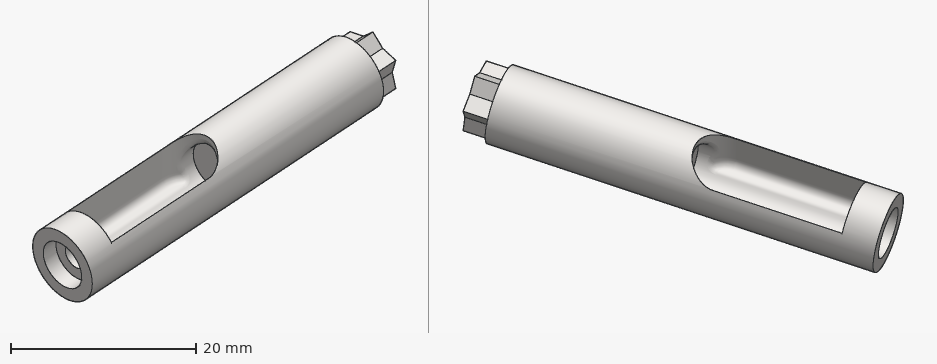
import cadquery as cq
import math

total_length = 48.0
body_diameter = 9.0
star_length = 3.0
body_length = total_length - star_length

star_points = 6
star_tip_radius = 4.0
star_root_radius = 2.95

bore_diameter = 5.8
entry_hole_diameter = 3.0
counterbore_depth = 1.95

window_start = 4.0
window_width = 7.0
window_end = 22.5
window_floor_z = -2.3
floor_corner_radius = 0.95
edge_round_radius = 1.0

bore_end = 23.2


def cylinder_along_y(diameter, start, end):
    """Cylinder on the part axis between two Y positions."""
    circle = cq.Workplane("XZ", origin=(0, start, 0)).circle(diameter / 2)
    return circle.extrude(start - end)


def drive_star():
    """Star prism with one tip pointing straight up."""
    points = []
    for i in range(2 * star_points):
        radius = star_tip_radius if i % 2 == 0 else star_root_radius
        angle = math.pi / 2 + i * math.pi / star_points
        points.append((radius * math.cos(angle), radius * math.sin(angle)))
    outline = cq.Workplane("XZ", origin=(0, body_length, 0)).polyline(points).close()
    return outline.extrude(-star_length)


def window_pocket():
    """Round-ended pocket volume with rounded floor corners and a square front end."""
    half_width = window_width / 2
    arc_center_y = window_end - half_width
    outline = (
        cq.Workplane("XY", origin=(0, 0, window_floor_z))
        .moveTo(-half_width, window_start)
        .lineTo(half_width, window_start)
        .lineTo(half_width, arc_center_y)
        .threePointArc((0, window_end), (-half_width, arc_center_y))
        .close()
    )
    pocket = outline.extrude(body_diameter)
    floor_sides = pocket.faces("<Z").edges("not <Y")
    return floor_sides.fillet(floor_corner_radius)


def round_bore_mouth(part):
    """Round the edge where the inner bore breaks into the window floor and round end."""
    margin = 0.1
    mouth_half_width = bore_diameter / 2 + margin
    bore_top = bore_diameter / 2 + margin
    floor_bottom = window_floor_z - margin
    half_mouth_at_floor = math.sqrt((bore_diameter / 2) ** 2 - window_floor_z**2)
    floor_arc_radius = window_width / 2 - floor_corner_radius
    floor_rear = window_end - window_width / 2 + math.sqrt(floor_arc_radius**2 - half_mouth_at_floor**2)

    straight_edges = cq.selectors.BoxSelector(
        (-half_mouth_at_floor - margin, window_start + margin, floor_bottom),
        (half_mouth_at_floor + margin, floor_rear, window_floor_z + margin),
    )
    end_edges = cq.selectors.BoxSelector(
        (-mouth_half_width, floor_rear, floor_bottom),
        (mouth_half_width, window_end + margin, bore_top),
    )
    return part.edges(straight_edges + end_edges).fillet(edge_round_radius)


body = cylinder_along_y(body_diameter, 0, body_length)
body = body.cut(window_pocket())
body = body.cut(cylinder_along_y(bore_diameter, window_start, bore_end))
body = round_bore_mouth(body)
body = body.cut(cylinder_along_y(bore_diameter, 0, counterbore_depth))
body = body.cut(cylinder_along_y(entry_hole_diameter, 0, window_start))
result = body.union(drive_star())